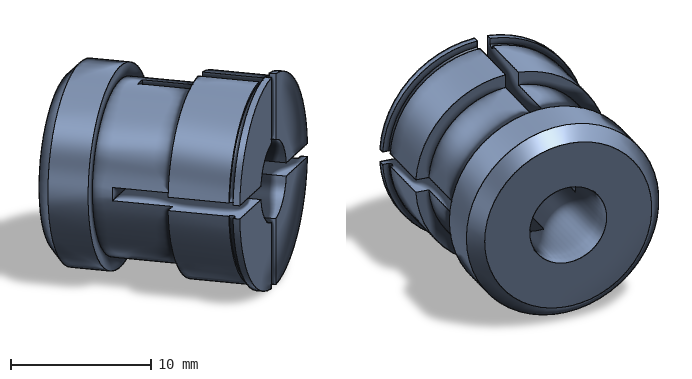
import cadquery as cq
import math

length = 15.5
outer_size = 15.77
slot_width = 1.0
slot_start = 5.5

bore_radius = 3.0
body_radius = 7.5
neck_radius = 6.5
rim_radius = math.hypot(outer_size / 2, slot_width / 2)

chamfer = 1.0
collar_end = 4.0
neck_end = 10.0
groove_start = 14.55
rim_start = length - 0.5

groove_start_radius = 7.32
groove_middle_radius = 7.27
groove_end_radius = 7.43


def turned_body():
    """Half profile from the bore outwards, revolved about the X axis."""
    groove_middle = (groove_start + rim_start) / 2
    profile = (
        cq.Workplane("XY")
        .moveTo(0, bore_radius)
        .lineTo(0, body_radius - chamfer)
        .lineTo(chamfer, body_radius)
        .lineTo(collar_end, body_radius)
        .lineTo(collar_end, neck_radius)
        .lineTo(neck_end, neck_radius)
        .lineTo(neck_end, body_radius)
        .lineTo(groove_start, body_radius)
        .lineTo(groove_start, groove_start_radius)
        .threePointArc((groove_middle, groove_middle_radius), (rim_start, groove_end_radius))
        .lineTo(rim_start, rim_radius)
        .lineTo(length, rim_radius)
        .lineTo(length, bore_radius)
        .close()
    )
    return profile.revolve(360, (0, 0, 0), (1, 0, 0))


def cross_slots():
    """Two crossing slots, open at the rim end, that split it into four fingers."""
    slot_length = length - slot_start
    slot_span = 2 * rim_radius
    slot = cq.Workplane("XY").box(slot_length, slot_width, slot_span)
    slot = slot.translate((slot_start + slot_length / 2, 0, 0))
    return slot.union(slot.rotate((0, 0, 0), (1, 0, 0), 90))


result = turned_body().cut(cross_slots())